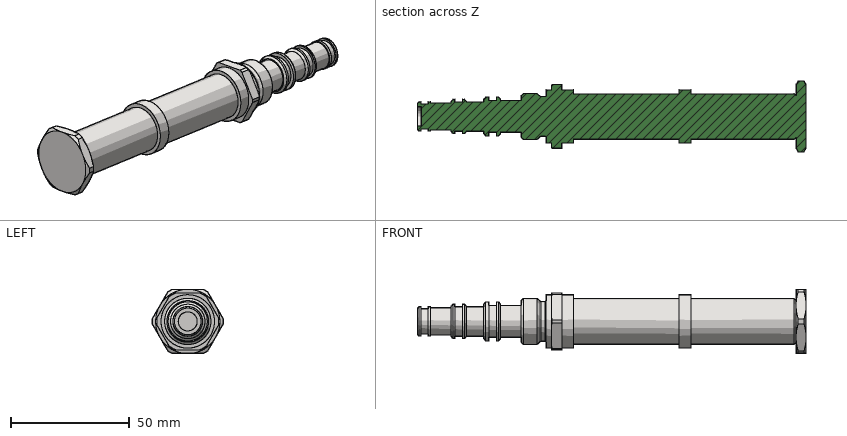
import cadquery as cq
import math


total_length = 163.55

nose_radius = 6.2
nose_chamfer = 0.6
nose_groove_radius = 5.4
nose_groove_start = 1.6
nose_groove_end = 4.5
nose_end = 5.6
recess_radius = 4.0
recess_depth = 1.6

neck_radius = 5.8
first_land_start = 14.1
first_land_radius = 7.25
first_groove_radius = 6.25
first_groove_start = 15.8
first_groove_end = 18.9
first_land_end = 20.7

middle_radius = 6.25
second_land_start = 27.9
second_land_radius = 8.25
second_groove_radius = 6.75
second_groove_start = 30.1
second_groove_end = 33.2
second_land_end = 35.0
rear_stem_radius = 6.75

land_bevel_length = 0.8
land_edge_drop = 1.0

collar_start = 43.6
collar_end = 51.4
collar_radius = 9.75
collar_chamfer = 1.0
undercut_radius = 8.4
undercut_edge_radius = 8.8
undercut_bevel_length = 0.5

shoulder_radius = 11.25
shoulder_start = 54.2
shoulder_end = 65.7

tube_radius = 9.65
tube_chamfer = 0.8
band_radius = 11.25
band_start = 110.0
band_width = 5.2

wrench_across_flats = 24.0
wrench_corner_radius = 13.5
wrench_start = 56.4
wrench_thickness = 4.4
wrench_bevel_length = 0.3

end_across_flats = 27.0
end_corner_radius = 15.0
end_thickness = 4.2
end_bevel_length = 0.85

bevel_angle = 30.0
hex_sides = 6
end_hex_start = total_length - end_thickness


def revolve_profile(points):
    """Solid of revolution about X from (x, radius) points, closed along the axis."""
    outline = [(points[0][0], 0)]
    outline += [(x, -radius) for x, radius in points]
    outline.append((points[-1][0], 0))
    return cq.Workplane("XY").polyline(outline).close().revolve(360, (0, 0, 0), (1, 0, 0))


def land_profile(start, groove_start, groove_end, end, land_radius, groove_radius):
    """Grooved seal land with its outer edges bevelled."""
    edge_radius = land_radius - land_edge_drop
    return [
        (start, edge_radius),
        (start + land_bevel_length, land_radius),
        (groove_start, land_radius),
        (groove_start, groove_radius),
        (groove_end, groove_radius),
        (groove_end, land_radius),
        (end - land_bevel_length, land_radius),
        (end, edge_radius),
    ]


def make_stem():
    """Stepped stem from the nose to the shoulder."""
    profile = [
        (0, nose_radius - nose_chamfer),
        (nose_chamfer, nose_radius),
        (nose_groove_start, nose_radius),
        (nose_groove_start, nose_groove_radius),
        (nose_groove_end, nose_groove_radius),
        (nose_groove_end, nose_radius),
        (nose_end, nose_radius),
        (nose_end, neck_radius),
        (first_land_start, neck_radius),
    ]
    profile += land_profile(
        first_land_start, first_groove_start, first_groove_end, first_land_end,
        first_land_radius, first_groove_radius,
    )
    profile.append((second_land_start, middle_radius))
    profile += land_profile(
        second_land_start, second_groove_start, second_groove_end, second_land_end,
        second_land_radius, second_groove_radius,
    )
    profile += [
        (second_land_end, rear_stem_radius),
        (collar_start, rear_stem_radius),
        (collar_start, collar_radius - collar_chamfer),
        (collar_start + collar_chamfer, collar_radius),
        (collar_end - collar_chamfer, collar_radius),
        (collar_end, undercut_edge_radius),
        (collar_end + undercut_bevel_length, undercut_radius),
        (shoulder_start - undercut_bevel_length, undercut_radius),
        (shoulder_start, undercut_edge_radius),
    ]
    return revolve_profile(profile)


def make_tube():
    """Shoulder, tube and band, up to the end hexagon."""
    band_end = band_start + band_width
    return revolve_profile([
        (shoulder_start, shoulder_radius),
        (shoulder_end, shoulder_radius),
        (shoulder_end, tube_radius),
        (band_start, tube_radius),
        (band_start, band_radius),
        (band_end, band_radius),
        (band_end, tube_radius),
        (end_hex_start - tube_chamfer, tube_radius),
        (end_hex_start, tube_radius - tube_chamfer),
    ])


def make_hexagon(start, thickness, across_flats, corner_radius, bevel_length, bevel_far_side):
    """Hexagon with corners on Y, turned to a corner radius and bevelled."""
    across_corners = across_flats / math.cos(math.pi / hex_sides)
    plane = cq.Workplane("YZ", origin=(start, 0, 0))
    hexagon = plane.polygon(hex_sides, across_corners).extrude(thickness)
    face_radius = corner_radius - bevel_length / math.tan(math.radians(bevel_angle))
    end = start + thickness
    envelope = [(start, face_radius), (start + bevel_length, corner_radius)]
    if bevel_far_side:
        envelope += [(end - bevel_length, corner_radius), (end, face_radius)]
    else:
        envelope.append((end, corner_radius))
    return hexagon.intersect(revolve_profile(envelope))


wrench_hexagon = make_hexagon(
    wrench_start, wrench_thickness, wrench_across_flats, wrench_corner_radius,
    wrench_bevel_length, bevel_far_side=False,
)
end_hexagon = make_hexagon(
    end_hex_start, end_thickness, end_across_flats, end_corner_radius,
    end_bevel_length, bevel_far_side=True,
)
nose_recess = cq.Workplane("YZ").circle(recess_radius).extrude(recess_depth)

result = make_stem().union(make_tube()).union(wrench_hexagon).union(end_hexagon).cut(nose_recess)